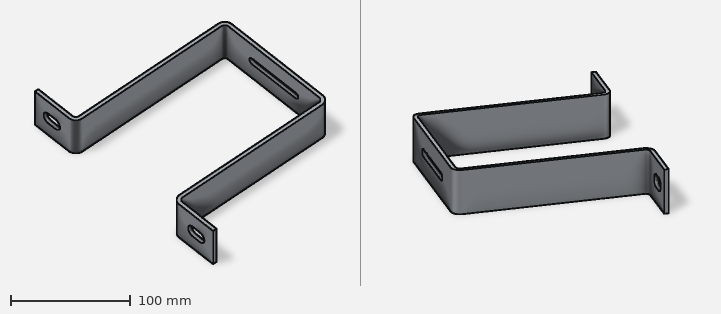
import cadquery as cq

overall_width = 220.0
overall_depth = 174.0
strip_height = 40.0
thickness = 4.0
channel_width = 128.0
inner_bend_radius = 4.0
outer_bend_radius = inner_bend_radius + thickness

foot_slot_length = 20.0
foot_slot_height = 11.5
foot_slot_inset = 21.0
bridge_slot_length = 60.0
bridge_slot_height = 6.5

half_width = overall_width / 2
half_channel = channel_width / 2
front_y = -overall_depth / 2
back_y = overall_depth / 2


def plate(x_min, x_max, y_min, y_max):
    """Upright block of full strip height between the given limits."""
    size_x = x_max - x_min
    size_y = y_max - y_min
    centre = ((x_min + x_max) / 2, (y_min + y_max) / 2, 0)
    return cq.Workplane("XY").box(size_x, size_y, strip_height).translate(centre)


def slot_cutter(length, height, x, y):
    """Round-ended slot through a wall of the strip lying along X."""
    return (
        cq.Workplane("XZ", origin=(x, y, 0))
        .slot2D(length, height)
        .extrude(thickness, both=True)
    )


def bent_strip():
    """Hat-shaped strip: bridge and legs, with a foot turned out on each side."""
    outer = plate(-half_channel, half_channel, front_y, back_y)
    outer = outer.edges("|Z and >Y").fillet(outer_bend_radius)
    inner_half = half_channel - thickness
    cavity = plate(-inner_half, inner_half, front_y, back_y - thickness)
    cavity = cavity.edges("|Z and >Y").fillet(inner_bend_radius)
    feet = plate(-half_width, half_width, front_y, front_y + thickness)
    strip = outer.union(feet).cut(cavity)

    for side in (-1, 1):
        strip = strip.edges(
            cq.selectors.NearestToPointSelector((side * half_channel, front_y + thickness, 0))
        ).fillet(inner_bend_radius)
        strip = strip.edges(
            cq.selectors.NearestToPointSelector((side * inner_half, front_y, 0))
        ).fillet(outer_bend_radius)
    return strip


result = bent_strip()

for side in (-1, 1):
    foot_slot_x = side * (half_width - foot_slot_inset)
    result = result.cut(slot_cutter(foot_slot_length, foot_slot_height, foot_slot_x, front_y))

result = result.cut(slot_cutter(bridge_slot_length, bridge_slot_height, 0, back_y))